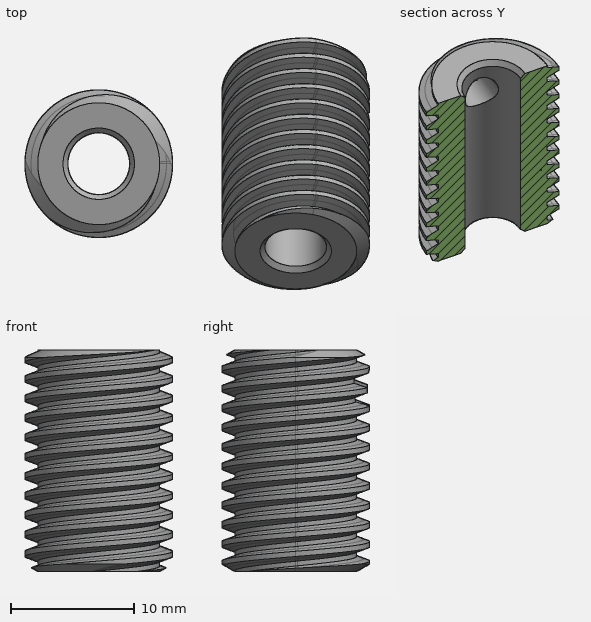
import cadquery as cq
import math

module = 0.5
starts = 2
pressure_angle = math.radians(20)
tip_radius = 6.0
length = 18.0

pitch_radius = tip_radius - module
lead_angle = math.asin(starts * module / (2 * pitch_radius))
pitch = math.pi * module / math.cos(lead_angle)
lead = starts * pitch
dedendum = 1.1 * module
root_radius = pitch_radius - dedendum
tooth_height = tip_radius - root_radius

groove_height = 0.65

end_chamfer_angle = math.radians(30)
end_chamfer_height = tooth_height * math.tan(end_chamfer_angle)
bore_radius = 2.5
bore_chamfer = 0.4
screw_hole_radius = 1.5
screw_hole_height = length - 3.0

overcut = 0.2

turn_overlap = 1.005


def blank():
    """Bored rod: outer ends coned from tip to root radius, bore mouths chamfered."""
    mouth_radius = bore_radius + bore_chamfer
    return (
        cq.Workplane("XZ")
        .moveTo(mouth_radius, 0)
        .lineTo(root_radius, 0)
        .lineTo(tip_radius, end_chamfer_height)
        .lineTo(tip_radius, length - end_chamfer_height)
        .lineTo(root_radius, length)
        .lineTo(mouth_radius, length)
        .lineTo(bore_radius, length - bore_chamfer)
        .lineTo(bore_radius, bore_chamfer)
        .close()
        .revolve(360, (0, 0, 0), (0, 1, 0))
    )


def groove_half_width(radius):
    """Half the axial gap between neighbouring teeth at a given radius."""
    return pitch / 4 + (radius - pitch_radius) * math.tan(pressure_angle)


def groove_turn():
    """One right-handed turn of groove, its centre leaving the +X side at Z = 0.

    Each flank is split at the pitch radius.
    """
    radii = [root_radius, pitch_radius, tip_radius + overcut]
    lower_flank = [(radius, -groove_half_width(radius)) for radius in radii]
    upper_flank = [(radius, groove_half_width(radius)) for radius in reversed(radii)]
    helix = cq.Wire.makeHelix(lead, lead * turn_overlap, root_radius)
    return cq.Workplane("XZ").polyline(lower_flank + upper_flank).close().sweep(helix, isFrenet=True)


def cut_thread(body):
    """Cut the grooves turn by turn, from below the bottom face to past the top face.

    Turns one pitch apart belong to successive starts; all begin on the +X side.
    """
    turn = groove_turn()
    last_turn = math.ceil(length / pitch)
    for step in range(-starts, last_turn):
        height = groove_height + step * pitch
        body = body.cut(turn.translate((0, 0, height)), clean=False)
    return body


def cut_screw_hole(body):
    """Radial hole from the bore out through the +Y side."""
    cutter = (
        cq.Workplane("XZ")
        .center(0, screw_hole_height)
        .circle(screw_hole_radius)
        .extrude(-(tip_radius + overcut))
    )
    return body.cut(cutter, clean=False)


result = cut_screw_hole(cut_thread(blank())).solids()